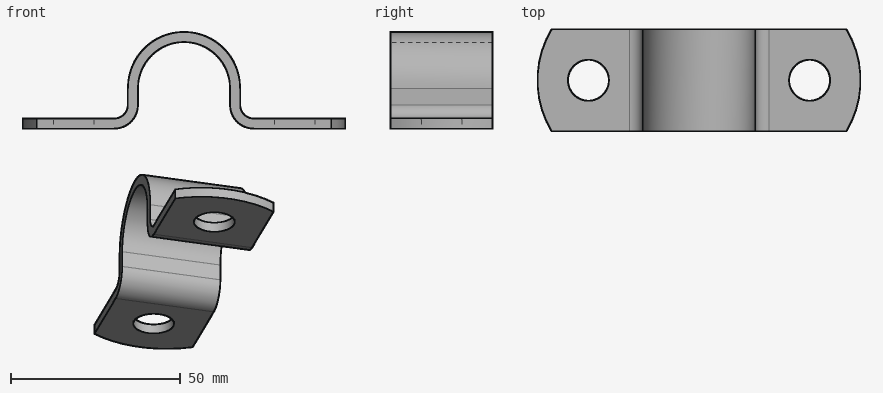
import cadquery as cq

length = 95.0
width = 30.0
height = 28.5
thickness = 3.0

saddle_outer_radius = 16.5
bend_inner_radius = 4.0

hole_diameter = 12.0
hole_spacing = 65.0
end_sagitta = 4.2

saddle_inner_radius = saddle_outer_radius - thickness
saddle_center_z = height - saddle_outer_radius
bend_outer_radius = bend_inner_radius + thickness
bend_center_x = saddle_outer_radius + bend_inner_radius
bend_center_z = bend_outer_radius
half_length = length / 2
corner_x = half_length - end_sagitta


def make_bent_strip():
    """Strap profile in the XZ plane, extruded symmetrically along Y."""
    profile = (
        cq.Workplane("XZ")
        .moveTo(-half_length, 0)
        .lineTo(-bend_center_x, 0)
        .radiusArc((-saddle_inner_radius, bend_center_z), -bend_outer_radius)
        .lineTo(-saddle_inner_radius, saddle_center_z)
        .threePointArc(
            (0, saddle_center_z + saddle_inner_radius),
            (saddle_inner_radius, saddle_center_z),
        )
        .lineTo(saddle_inner_radius, bend_center_z)
        .radiusArc((bend_center_x, 0), -bend_outer_radius)
        .lineTo(half_length, 0)
        .lineTo(half_length, thickness)
        .lineTo(bend_center_x, thickness)
        .radiusArc((saddle_outer_radius, bend_center_z), bend_inner_radius)
        .lineTo(saddle_outer_radius, saddle_center_z)
        .threePointArc((0, height), (-saddle_outer_radius, saddle_center_z))
        .lineTo(-saddle_outer_radius, bend_center_z)
        .radiusArc((-bend_center_x, thickness), bend_inner_radius)
        .lineTo(-half_length, thickness)
        .close()
    )
    return profile.extrude(width / 2, both=True)


def make_plan_outline():
    """Full-height block with the rounded ends of the strap in plan."""
    return (
        cq.Workplane("XY")
        .moveTo(-corner_x, -width / 2)
        .lineTo(corner_x, -width / 2)
        .threePointArc((half_length, 0), (corner_x, width / 2))
        .lineTo(-corner_x, width / 2)
        .threePointArc((-half_length, 0), (-corner_x, -width / 2))
        .close()
        .extrude(height)
    )


def make_screw_holes():
    """One cylinder through each foot."""
    return (
        cq.Workplane("XY")
        .pushPoints([(-hole_spacing / 2, 0), (hole_spacing / 2, 0)])
        .circle(hole_diameter / 2)
        .extrude(thickness)
    )


result = make_bent_strip().intersect(make_plan_outline()).cut(make_screw_holes())